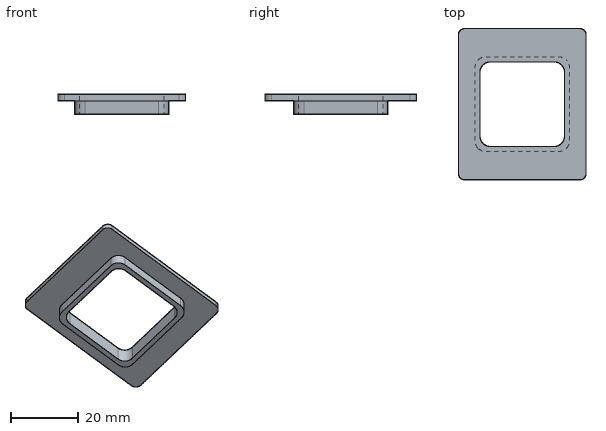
import cadquery as cq

plate_width = 38.0
plate_length = 45.0
plate_thickness = 2.0
plate_corner_radius = 2.0

total_height = 6.0
collar_side = 28.0
collar_corner_radius = 3.0
collar_height = total_height - plate_thickness

opening_side = 25.0
opening_corner_radius = 3.0


def rounded_block(size_x, size_y, height, corner_radius, base_z):
    """Upright block centred on the Z axis, with rounded vertical edges."""
    block = cq.Workplane("XY").workplane(offset=base_z).rect(size_x, size_y).extrude(height)
    return block.edges("|Z").fillet(corner_radius)


collar = rounded_block(collar_side, collar_side, collar_height, collar_corner_radius, 0)
plate = rounded_block(
    plate_width, plate_length, plate_thickness, plate_corner_radius, collar_height
)
opening = rounded_block(opening_side, opening_side, total_height, opening_corner_radius, 0)

result = plate.union(collar).cut(opening)